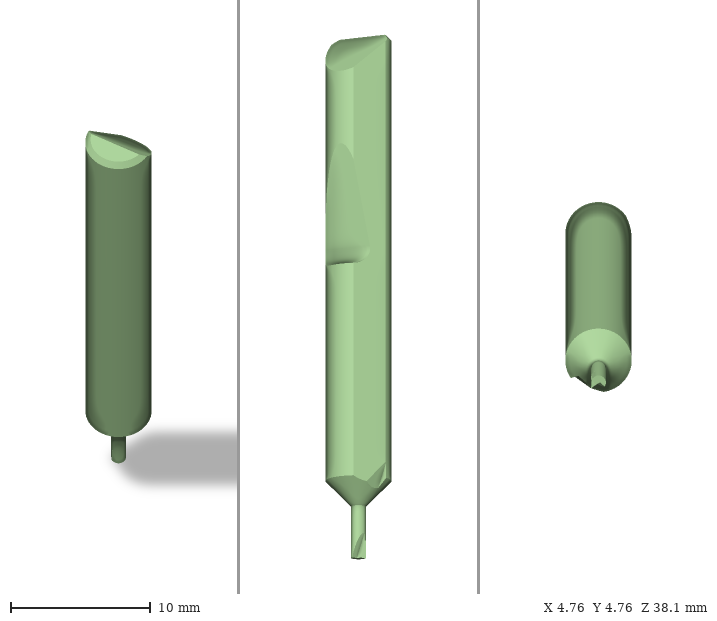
import cadquery as cq
import math

length = 38.1
shank_radius = 2.38
neck_radius = 0.55
cone_top_z = 5.7
cone_bottom_z = cone_top_z - (shank_radius - neck_radius)
end_chamfer = 0.4
tip_relief = 0.1

flat_angle = 145.5
flat_distance = 2.02

bevel_start_y = -0.5

notch_radius = 1.15
notch_floor_y = 1.1
notch_bottom_z = 21.2
notch_top_z = 29.95

tooth_reach = 0.65
tooth_height = 1.35
tooth_heel_x = -0.25
tooth_heel_y = -0.5
tooth_back_x = 0.08

rake_y = 0.05
clearance_x = 0.15
clearance_slope_z = 0.37
clearance_slope_y = 0.23
clearance_top_z = 9.52

margin = 3.8


def turned_body():
    outline = (
        cq.Workplane("XZ")
        .moveTo(0, tip_relief)
        .lineTo(neck_radius, tip_relief)
        .lineTo(neck_radius, cone_bottom_z)
        .lineTo(shank_radius, cone_top_z)
        .lineTo(shank_radius, length - end_chamfer)
        .lineTo(shank_radius - end_chamfer, length)
        .lineTo(0, length)
        .close()
    )
    return outline.revolve(360, (0, 0, 0), (0, 1, 0))


def tooth():
    """Faceted tooth with a point at -X and an end face rising towards +X."""
    back_y = -math.sqrt(neck_radius**2 - tooth_back_x**2)
    blank = (
        cq.Workplane("XY")
        .polyline([
            (-tooth_reach, rake_y),
            (tooth_heel_x, tooth_heel_y),
            (tooth_back_x, back_y),
            (tooth_back_x, rake_y),
        ])
        .close()
        .extrude(tooth_height)
    )
    end_relief = (
        cq.Workplane("XZ")
        .polyline([(-tooth_reach, 0), (tooth_heel_x, tip_relief), (margin, tip_relief), (margin, 0)])
        .close()
        .extrude(margin, both=True)
    )
    return blank.cut(end_relief)


def tooth_seat():
    """Quarter of the neck that the faceted tooth replaces."""
    seat = cq.Workplane("XY").box(margin, margin, tooth_height, centered=False)
    return seat.translate((tooth_back_x - margin, rake_y - margin, 0))


def flat_cutter():
    cutter = cq.Workplane("XY").box(margin, 2 * margin, length, centered=(False, True, False))
    return cutter.translate((flat_distance, 0, 0)).rotate((0, 0, 0), (0, 0, 1), flat_angle)


def bevel_cutter():
    outer_y = shank_radius + margin
    return (
        cq.Workplane("YZ")
        .polyline([(bevel_start_y, length), (outer_y, length), (outer_y, length - outer_y + bevel_start_y)])
        .close()
        .extrude(margin, both=True)
    )


def notch_cutter():
    """Round-bottomed notch whose long side is tangent to its corner radius."""
    center_y = notch_floor_y + notch_radius
    center_z = notch_bottom_z + notch_radius
    dy = shank_radius - center_y
    dz = notch_top_z - center_z
    tangent_angle = math.atan2(dz, dy) + math.acos(notch_radius / math.hypot(dy, dz))

    def on_arc(angle):
        return (center_y + notch_radius * math.cos(angle), center_z + notch_radius * math.sin(angle))

    bottom_angle = 1.5 * math.pi
    return (
        cq.Workplane("YZ")
        .moveTo(shank_radius, notch_top_z)
        .lineTo(*on_arc(tangent_angle))
        .threePointArc(on_arc((tangent_angle + bottom_angle) / 2), on_arc(bottom_angle))
        .lineTo(shank_radius, notch_bottom_z)
        .lineTo(shank_radius + margin, notch_bottom_z)
        .lineTo(shank_radius + margin, notch_top_z)
        .close()
        .extrude(margin, both=True)
    )


def clearance_section(y):
    """Triangle on the -X side of the sloping clearance face at a given y."""
    bottom_x = clearance_x + clearance_slope_y * (y - rake_y)
    top_x = bottom_x - clearance_slope_z * clearance_top_z
    return [(top_x, y, clearance_top_z), (bottom_x, y, 0), (top_x, y, 0)]


def clearance_cutter():
    wires = [
        cq.Wire.makePolygon([cq.Vector(*point) for point in clearance_section(y)], close=True)
        for y in (rake_y, rake_y + margin)
    ]
    return cq.Workplane(cq.Solid.makeLoft(wires, True))


result = (
    turned_body()
    .cut(tooth_seat())
    .union(tooth())
    .cut(flat_cutter())
    .cut(bevel_cutter())
    .cut(notch_cutter())
    .cut(clearance_cutter())
)